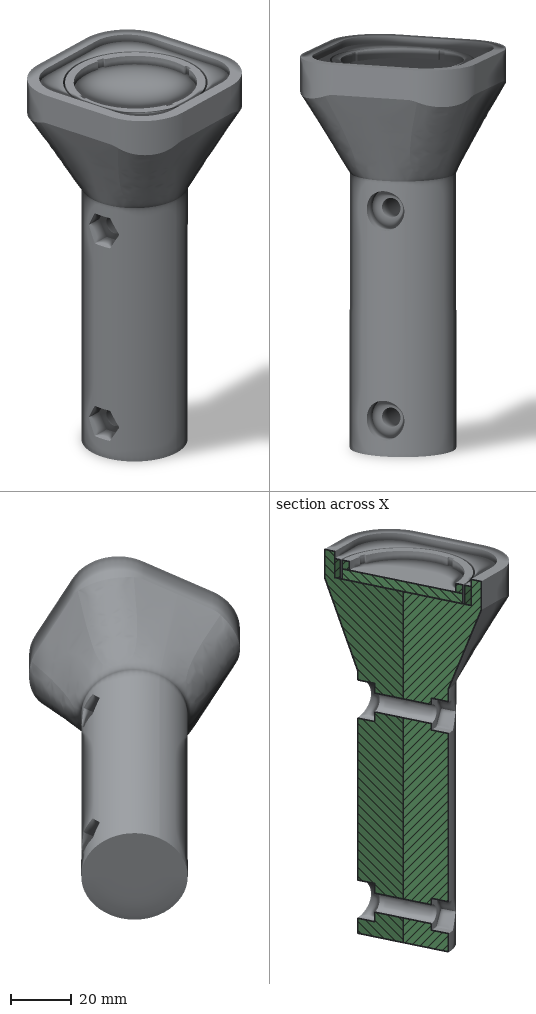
import cadquery as cq
import math

TOTAL_HEIGHT = 132.0
HEAD_WIDTH = 60.0
HEAD_CORNER_RADIUS = 17.0
RIM_HEIGHT = 10.0
TAPER_HEIGHT = 30.0
TAPER_CORNER_RADIUS = 15.0
TUBE_DIAMETER = 35.0

RIM_WALL = 4.0
POCKET_WIDTH = HEAD_WIDTH - 2 * RIM_WALL
POCKET_CORNER_RADIUS = HEAD_CORNER_RADIUS - RIM_WALL
FLOOR_DROP = 2.5
PLATE_THICKNESS = 6.6

RING_OFFSET = 0.2
PLATE_HOLE_DIAMETER = 47.5
RING_OUTER_DIAMETER = 46.2
RING_INNER_DIAMETER = 40.5
RING_THICKNESS = 3.0
NOTCH_COUNT = 4
NOTCH_FIRST_ANGLE = -19.0
NOTCH_WIDTH = 2.6
NOTCH_DEPTH = 0.8

BOLT_HOLE_DIAMETER = 6.5
NUT_ACROSS_FLATS = 11.0
SCREW_HEAD_DIAMETER = 13.2
BOLT_RECESS_DEPTH = 6.6
LOWER_BOLT_Z = 12.0
UPPER_BOLT_Z = 82.0

RIM_BOTTOM_Z = TOTAL_HEIGHT - RIM_HEIGHT
TUBE_TOP_Z = RIM_BOTTOM_Z - TAPER_HEIGHT
FLOOR_Z = TOTAL_HEIGHT - FLOOR_DROP
POCKET_BOTTOM_Z = FLOOR_Z - PLATE_THICKNESS
RING_BOTTOM_Z = FLOOR_Z - RING_THICKNESS
TUBE_RADIUS = TUBE_DIAMETER / 2


def rounded_block(width, corner_radius, bottom_z, top_z):
    """Upright square block with rounded vertical edges."""
    block = cq.Workplane("XY", origin=(0, 0, bottom_z)).rect(width, width).extrude(top_z - bottom_z)
    return block.edges("|Z").fillet(corner_radius)


def cylinder(diameter, bottom_z, top_z):
    """Upright cylinder on the Z axis."""
    return cq.Workplane("XY", origin=(0, 0, bottom_z)).circle(diameter / 2).extrude(top_z - bottom_z)


def quartered_circle(radius, z):
    """Circle made of four arcs that meet on the diagonals."""
    diagonal = radius * math.sqrt(0.5)
    return (
        cq.Workplane("XY", origin=(0, 0, z))
        .moveTo(-diagonal, -diagonal)
        .threePointArc((0, -radius), (diagonal, -diagonal))
        .threePointArc((radius, 0), (diagonal, diagonal))
        .threePointArc((0, radius), (-diagonal, diagonal))
        .threePointArc((-radius, 0), (-diagonal, -diagonal))
        .close()
        .val()
    )


def square(width, z):
    """Horizontal square outline centred on the Z axis."""
    half = width / 2
    return (
        cq.Workplane("XY", origin=(0, 0, z))
        .polyline([(-half, -half), (half, -half), (half, half), (-half, half)])
        .close()
        .val()
    )


def make_taper():
    """Square-to-round taper with filleted corners, trimmed to the rounded outline of the head."""
    loft = cq.Workplane(
        cq.Solid.makeLoft([quartered_circle(TUBE_RADIUS, TUBE_TOP_Z), square(HEAD_WIDTH, RIM_BOTTOM_Z)], True)
    )
    corner_edges = loft.edges().filter(lambda edge: edge.BoundingBox().zlen > TAPER_HEIGHT / 2)
    taper = corner_edges.fillet(TAPER_CORNER_RADIUS)
    return taper.intersect(rounded_block(HEAD_WIDTH, HEAD_CORNER_RADIUS, TUBE_TOP_Z, RIM_BOTTOM_Z))


def handle_blank():
    """Rounded square head, taper and round tube as one solid."""
    rim = rounded_block(HEAD_WIDTH, HEAD_CORNER_RADIUS, RIM_BOTTOM_Z, TOTAL_HEIGHT)
    tube = cylinder(TUBE_DIAMETER, 0, TUBE_TOP_Z)
    return rim.union(make_taper()).union(tube)


def bolt_cutter(bolt_z):
    """Through hole along Y with a hexagonal nut recess at -Y and a round screw head recess at +Y."""
    seat_y = TUBE_RADIUS - BOLT_RECESS_DEPTH
    axis_plane = cq.Workplane("XZ", origin=(0, 0, bolt_z))
    hole = axis_plane.circle(BOLT_HOLE_DIAMETER / 2).extrude(TUBE_RADIUS, both=True)
    nut_across_corners = NUT_ACROSS_FLATS / math.cos(math.pi / 6)
    nut = axis_plane.workplane(offset=seat_y).polygon(6, nut_across_corners).extrude(BOLT_RECESS_DEPTH)
    screw_seat = axis_plane.workplane(offset=-seat_y)
    screw_head = screw_seat.circle(SCREW_HEAD_DIAMETER / 2).extrude(-BOLT_RECESS_DEPTH)
    return hole.union(nut).union(screw_head)


def hollowed_handle():
    """Complete handle shape with its pocket and bolt holes, before it is split at Y = 0."""
    pocket = rounded_block(POCKET_WIDTH, POCKET_CORNER_RADIUS, POCKET_BOTTOM_Z, TOTAL_HEIGHT)
    handle = handle_blank().cut(pocket)
    for bolt_z in (LOWER_BOLT_Z, UPPER_BOLT_Z):
        handle = handle.cut(bolt_cutter(bolt_z))
    return handle


def handle_half(handle, side):
    """Half of the handle on the -Y (side = -1) or +Y (side = 1) side of the split plane."""
    half_space = cq.Workplane("XY", origin=(0, side * HEAD_WIDTH / 2, 0)).rect(HEAD_WIDTH, HEAD_WIDTH)
    return handle.intersect(half_space.extrude(TOTAL_HEIGHT))


def moved_to_ring_axis(shape):
    """Shape moved sideways from the Z axis to the slightly offset axis of the ring."""
    return shape.translate((RING_OFFSET, RING_OFFSET, 0))


def make_plate():
    """Rounded square plate filling the pocket, with a round hole through it."""
    plate = rounded_block(POCKET_WIDTH, POCKET_CORNER_RADIUS, POCKET_BOTTOM_Z, FLOOR_Z)
    return plate.cut(moved_to_ring_axis(cylinder(PLATE_HOLE_DIAMETER, POCKET_BOTTOM_Z, FLOOR_Z)))


def make_disc():
    """Plain disc at the bottom of the plate hole."""
    return moved_to_ring_axis(cylinder(RING_OUTER_DIAMETER, POCKET_BOTTOM_Z, RING_BOTTOM_Z))


def make_retaining_ring():
    """Ring on top of the disc, with spanner notches in its bore."""
    ring = cylinder(RING_OUTER_DIAMETER, RING_BOTTOM_Z, FLOOR_Z)
    ring = ring.cut(cylinder(RING_INNER_DIAMETER, RING_BOTTOM_Z, FLOOR_Z))
    notch_reach = RING_INNER_DIAMETER / 2 + NOTCH_DEPTH
    notch = (
        cq.Workplane("XY", origin=(0, 0, RING_BOTTOM_Z))
        .rect(notch_reach, NOTCH_WIDTH)
        .extrude(RING_THICKNESS)
        .translate((notch_reach / 2, 0, 0))
    )
    for index in range(NOTCH_COUNT):
        angle = NOTCH_FIRST_ANGLE + index * 360 / NOTCH_COUNT
        ring = ring.cut(notch.rotate((0, 0, 0), (0, 0, 1), angle))
    return moved_to_ring_axis(ring)


handle = hollowed_handle()
nut_side_half = handle_half(handle, -1)
screw_side_half = handle_half(handle, 1)
plate = make_plate()
disc = make_disc()
retaining_ring = make_retaining_ring()

result = cq.Compound.makeCompound([
    nut_side_half.val(),
    screw_side_half.val(),
    plate.val(),
    disc.val(),
    retaining_ring.val(),
])